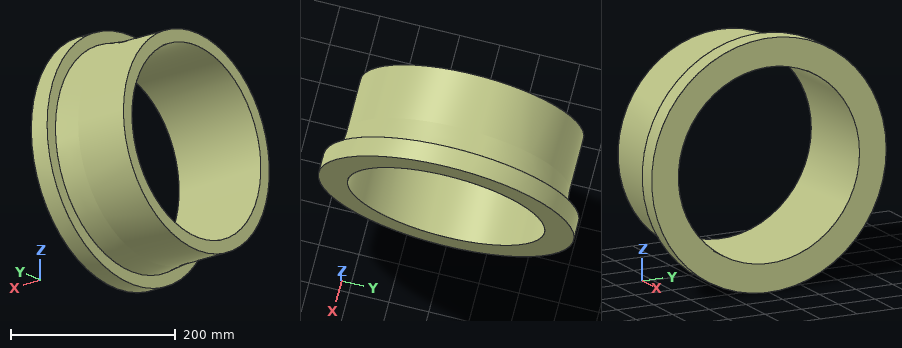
import cadquery as cq

total_length = 128.0
flange_thickness = 25.0
cone_length = 32.5
bore_diameter = 246.7
pipe_diameter = 280.0
cone_end_diameter = 288.0
flange_diameter = 320.0

flange_start = total_length - flange_thickness
cone_start = flange_start - cone_length

half_section = (
    cq.Workplane("XY")
    .moveTo(0, bore_diameter / 2)
    .lineTo(0, pipe_diameter / 2)
    .lineTo(cone_start, pipe_diameter / 2)
    .lineTo(flange_start, cone_end_diameter / 2)
    .lineTo(flange_start, flange_diameter / 2)
    .lineTo(total_length, flange_diameter / 2)
    .lineTo(total_length, bore_diameter / 2)
    .close()
)

result = half_section.revolve(360, (0, 0, 0), (1, 0, 0))